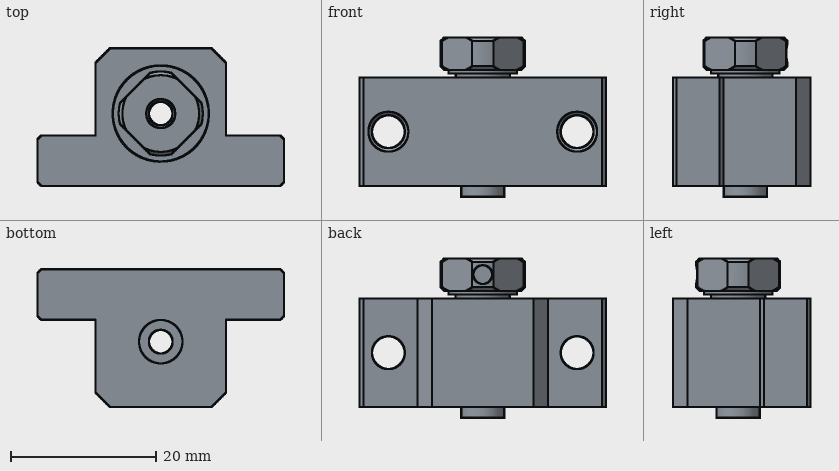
import cadquery as cq


flange_width = 34.0
flange_depth = 7.0
flange_chamfer = 0.55
block_width = 18.0
block_chamfer = 2.0
housing_depth = 19.0
housing_height = 15.0
axis_to_front = 10.0

mount_hole_dia = 4.5
mount_sink_dia = 5.5
mount_hole_spacing = 26.0

groove_inner_dia = 13.2
groove_outer_dia = 13.3
groove_depth = 0.1

shaft_dia = 6.0
shaft_protrusion = 1.5
neck_dia = 7.5
neck_height = 0.5
collar_dia = 9.5
collar_height = 0.5
head_dia = 11.6
head_across_flats = 10.0
head_height = 4.5
head_chamfer = 0.5
bore_dia = 3.23
bore_mouth_dia = 4.0
blind_hole_dia = 2.6
blind_hole_depth = 2.05

front_y = -axis_to_front
collar_z = housing_height + neck_height
head_z = collar_z + collar_height
head_top_z = head_z + head_height


def cylinder(diameter, bottom_z, height):
    return cq.Workplane("XY").workplane(offset=bottom_z).circle(diameter / 2).extrude(height)


def make_t_block():
    flange = (
        cq.Workplane("XY")
        .box(flange_width, flange_depth, housing_height, centered=(True, False, False))
        .edges("|Z")
        .chamfer(flange_chamfer)
    )
    block = (
        cq.Workplane("XY")
        .box(block_width, housing_depth, housing_height, centered=(True, False, False))
        .edges("|Z and >Y")
        .chamfer(block_chamfer)
    )
    return flange.union(block).translate((0, front_y, 0))


def make_mount_hole(x):
    """Through hole along Y with a 45 degree countersink at the front face."""
    hole_radius = mount_hole_dia / 2
    sink_radius = mount_sink_dia / 2
    sink_depth = sink_radius - hole_radius
    center = cq.Vector(x, front_y, housing_height / 2)
    along_y = cq.Vector(0, 1, 0)
    hole = cq.Solid.makeCylinder(hole_radius, flange_depth, center, along_y)
    sink = cq.Solid.makeCone(sink_radius, hole_radius, sink_depth, center, along_y)
    return cq.Workplane(hole).union(cq.Workplane(sink))


def make_housing():
    body = make_t_block()
    for side in (-1, 1):
        body = body.cut(make_mount_hole(side * mount_hole_spacing / 2))
    groove = (
        cq.Workplane("XY")
        .workplane(offset=housing_height - groove_depth)
        .circle(groove_outer_dia / 2)
        .circle(groove_inner_dia / 2)
        .extrude(groove_depth)
    )
    shaft_hole = cylinder(shaft_dia, 0, housing_height)
    return body.cut(groove).cut(shaft_hole)


def make_rod_head():
    """Chamfered round head with four flats facing the diagonals."""
    disc = cylinder(head_dia, head_z, head_height).edges().chamfer(head_chamfer)
    square = (
        cq.Workplane("XY")
        .workplane(offset=head_z)
        .rect(head_across_flats, head_across_flats)
        .extrude(head_height)
        .rotate((0, 0, 0), (0, 0, 1), 45)
    )
    return disc.intersect(square)


def make_bore():
    """Through bore, opened by a 45 degree chamfer at the top of the head."""
    bore = cylinder(bore_dia, -shaft_protrusion, head_top_z + shaft_protrusion)
    mouth_depth = (bore_mouth_dia - bore_dia) / 2
    mouth = cq.Solid.makeCone(
        bore_dia / 2, bore_mouth_dia / 2, mouth_depth, cq.Vector(0, 0, head_top_z - mouth_depth)
    )
    return bore.union(cq.Workplane(mouth))


def make_blind_hole():
    """Radial blind hole in the back (+Y) of the head, stopping short of the bore."""
    floor_center = cq.Vector(0, head_dia / 2 - blind_hole_depth, head_z + head_height / 2)
    return cq.Workplane(
        cq.Solid.makeCylinder(blind_hole_dia / 2, blind_hole_depth, floor_center, cq.Vector(0, 1, 0))
    )


def make_rod():
    shaft = cylinder(shaft_dia, -shaft_protrusion, collar_z + shaft_protrusion)
    neck = cylinder(neck_dia, housing_height, neck_height)
    collar = cylinder(collar_dia, collar_z, collar_height)
    body = shaft.union(neck).union(collar).union(make_rod_head())
    return body.cut(make_bore()).cut(make_blind_hole())


housing = make_housing()
rod = make_rod()
result = cq.Compound.makeCompound([housing.solids().val(), rod.solids().val()])